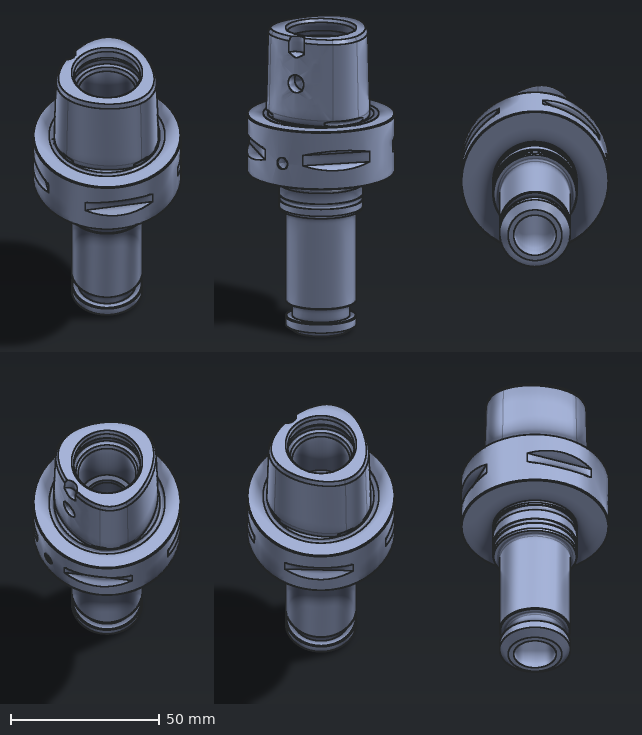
import cadquery as cq
import math

total_height = 105.5
cut_clearance = 1.1

shank_dia = 24.0
foot_dia = 18.1
foot_chamfer_height = 2.0
foot_top_z = 5.2
neck_dia = 19.5
neck_top_z = 10.1
neck_fillet = 0.6
edge_break = 0.3
collar_dia = 28.5
collar_bottom_z = 42.5
collar_chamfer = 0.8
shank_fillet = 0.7

flange_dia = 50.0
flange_bottom_z = 55.5
flange_top_z = 75.6
flange_edge_break = 0.3
face_groove_outer_dia = 39.1
face_groove_inner_dia = 35.8
face_groove_depth = 0.5

collar_grooves = [
    (45.8, 47.6, 0.26),
    (51.9, 53.6, 0.26),
    (54.4, flange_bottom_z, 0),
]
collar_groove_sag = 0.26
groove_bevel_width = 0.26
groove_bevel_height = 0.5

gripper_count = 4
gripper_first_angle = 45.0
gripper_mid_z = 65.5
gripper_flat_distance = 22.2
gripper_floor_height = 3.6
gripper_side_angle = 30.0

polygon_radius = 17.5
polygon_lobe = 1.0
lobe_half_angle = 18.0
lobe_spacing = 120
taper_bottom_z = 77.6
taper_per_side = 1 / 40
tip_chamfer_width = 0.8
tip_chamfer_height = 1.5
undercut_dia = 35.2
undercut_sag = 0.4
undercut_top_z = 77.3

bore_mouth_dia = 24.0
bore_mouth_chamfer_width = 0.7
bore_mouth_chamfer_height = 1.2
bore_groove_dia = 24.1
bore_lip_z = 101.5
bore_groove_top_z = 99.7
bore_ledge_dia = 21.0
bore_ledge_z = 97.7
bore_top_z = 96.4
bore_dia = 19.5
bore_floor_z = 77.0
through_dia = 14.3
through_rim_dia = 15.6

drill_tip_angle = 118.0
key_dia = 6.3
key_axis_x = -16.7
key_bottom_z = 100.1
taper_hole_dia = 6.1
taper_hole_z = 89.6
taper_hole_depth = 4.2
flange_hole_dia = 4.0
flange_hole_z = 63.7
flange_hole_depth = 0.5


def revolve(points):
    """Solid of revolution about Z from (radius, z) points."""
    return cq.Workplane("XZ").polyline(points).close().revolve(360, (0, 0), (0, 1))


def lobe_section(mean_radius, z):
    """Closed three-lobed wire at height z, in one curve per lobe and per flank."""
    def point(angle):
        t = math.radians(angle)
        return cq.Vector(
            mean_radius * math.cos(t) + polygon_lobe * math.cos(2 * t),
            mean_radius * math.sin(t) - polygon_lobe * math.sin(2 * t),
            z,
        )

    edges = []
    samples = 12
    for lobe in range(0, 360, lobe_spacing):
        for start, end in (
            (lobe - lobe_half_angle, lobe + lobe_half_angle),
            (lobe + lobe_half_angle, lobe + lobe_spacing - lobe_half_angle),
        ):
            step = (end - start) / samples
            edges.append(cq.Edge.makeSpline([point(start + i * step) for i in range(samples + 1)]))
    return cq.Wire.assembleEdges(edges)


def drill(diameter, depth, start, direction):
    """Cylinder with a conical drill tip, running from start along direction."""
    radius = diameter / 2
    tip_length = radius / math.tan(math.radians(drill_tip_angle / 2))
    body = cq.Solid.makeCylinder(radius, depth, start, direction)
    tip = cq.Solid.makeCone(radius, 0, tip_length, start + direction * depth, direction)
    return cq.Workplane(body.fuse(tip))


def make_collar_groove(low, high, wall):
    """Ring groove with straight side walls and a rounded floor."""
    collar_r = collar_dia / 2
    floor_r = collar_r - wall - collar_groove_sag
    outside_r = collar_r + cut_clearance
    return (
        cq.Workplane("XZ")
        .moveTo(outside_r, low)
        .lineTo(collar_r - wall, low)
        .threePointArc((floor_r, (low + high) / 2), (collar_r - wall, high))
        .lineTo(outside_r, high)
        .close()
        .revolve(360, (0, 0), (0, 1))
    )


def make_shank():
    shank_r = shank_dia / 2
    neck_r = neck_dia / 2
    collar_r = collar_dia / 2
    outline = (
        cq.Workplane("XZ")
        .moveTo(0, 0)
        .lineTo(foot_dia / 2, 0)
        .lineTo(shank_r, foot_chamfer_height)
        .lineTo(shank_r, foot_top_z - edge_break)
        .lineTo(shank_r - edge_break, foot_top_z)
        .lineTo(neck_r, foot_top_z)
        .lineTo(neck_r, neck_top_z - neck_fillet)
        .radiusArc((neck_r + neck_fillet, neck_top_z), neck_fillet)
        .lineTo(shank_r - edge_break, neck_top_z)
        .lineTo(shank_r, neck_top_z + edge_break)
        .lineTo(shank_r, collar_bottom_z - shank_fillet)
        .radiusArc((shank_r + shank_fillet, collar_bottom_z), shank_fillet)
        .lineTo(collar_r - edge_break, collar_bottom_z)
        .lineTo(collar_r, collar_bottom_z + collar_chamfer)
        .lineTo(collar_r, flange_bottom_z)
        .lineTo(0, flange_bottom_z)
        .close()
    )
    shank = outline.revolve(360, (0, 0), (0, 1))
    for groove in collar_grooves:
        shank = shank.cut(make_collar_groove(*groove))
    bevel_top = collar_grooves[1][0]
    bevel = revolve([
        (collar_r - groove_bevel_width, bevel_top),
        (collar_r, bevel_top - groove_bevel_height),
        (collar_r, bevel_top),
    ])
    return shank.cut(bevel)


def make_flange():
    height = flange_top_z - flange_bottom_z
    flange = (
        cq.Workplane("XY").workplane(offset=flange_bottom_z)
        .circle(flange_dia / 2).extrude(height)
        .edges("%CIRCLE").chamfer(flange_edge_break)
    )
    inner_r = face_groove_inner_dia / 2
    outer_r = face_groove_outer_dia / 2
    face_groove = (
        cq.Workplane("XZ")
        .moveTo(inner_r, flange_top_z)
        .threePointArc(
            ((inner_r + outer_r) / 2, flange_top_z - face_groove_depth),
            (outer_r, flange_top_z),
        )
        .close()
        .revolve(360, (0, 0), (0, 1))
    )
    return flange.cut(face_groove)


def make_gripper_groove(angle):
    """V-sided groove with a flat floor, facing outwards at the given angle."""
    floor = gripper_floor_height / 2
    reach = flange_dia / 2 + cut_clearance - gripper_flat_distance
    mouth = floor + reach * math.tan(math.radians(gripper_side_angle))
    far = gripper_flat_distance + reach
    groove = (
        cq.Workplane("XZ")
        .polyline([
            (gripper_flat_distance, gripper_mid_z - floor),
            (far, gripper_mid_z - mouth),
            (far, gripper_mid_z + mouth),
            (gripper_flat_distance, gripper_mid_z + floor),
        ])
        .close()
        .extrude(flange_dia / 2, both=True)
    )
    return groove.rotate((0, 0, 0), (0, 0, 1), angle)


def make_taper():
    chamfer_z = total_height - tip_chamfer_height
    chamfer_radius = polygon_radius - (chamfer_z - taper_bottom_z) * taper_per_side
    root_z = flange_top_z
    root = lobe_section(polygon_radius, root_z)
    large = lobe_section(polygon_radius, taper_bottom_z)
    small = lobe_section(chamfer_radius, chamfer_z)
    tip = lobe_section(chamfer_radius - tip_chamfer_width, total_height)

    undercut_floor_r = undercut_dia / 2
    undercut_edge_r = undercut_floor_r + undercut_sag
    clear_r = polygon_radius + 2 * polygon_lobe
    undercut = (
        cq.Workplane("XZ")
        .moveTo(clear_r, root_z)
        .lineTo(undercut_edge_r, root_z)
        .threePointArc(
            (undercut_floor_r, (root_z + undercut_top_z) / 2),
            (undercut_edge_r, undercut_top_z),
        )
        .lineTo(clear_r, undercut_top_z)
        .close()
        .revolve(360, (0, 0), (0, 1))
    )
    foot = cq.Workplane(cq.Solid.makeLoft([root, large], True)).cut(undercut)
    body = cq.Workplane(cq.Solid.makeLoft([large, small], True))
    end = cq.Workplane(cq.Solid.makeLoft([small, tip], True))
    return foot.union(body).union(end)


def make_bore():
    mouth_r = bore_mouth_dia / 2
    entry_r = mouth_r - bore_mouth_chamfer_width
    groove_r = bore_groove_dia / 2
    ledge_r = bore_ledge_dia / 2
    bore_r = bore_dia / 2
    rim_r = through_rim_dia / 2
    through_r = through_dia / 2
    return revolve([
        (0, 0),
        (through_r, 0),
        (through_r, bore_floor_z - (rim_r - through_r)),
        (rim_r, bore_floor_z),
        (bore_r, bore_floor_z),
        (bore_r, bore_top_z),
        (ledge_r, bore_ledge_z),
        (groove_r, bore_ledge_z),
        (groove_r, bore_groove_top_z),
        (entry_r, bore_lip_z),
        (entry_r, total_height - bore_mouth_chamfer_height),
        (mouth_r, total_height),
        (0, total_height),
    ])


def make_drilled_details():
    down = cq.Vector(0, 0, -1)
    inward = cq.Vector(1, 0, 0)
    key = drill(key_dia, total_height - key_bottom_z, cq.Vector(key_axis_x, 0, total_height), down)
    taper_flat = polygon_radius - polygon_lobe - (taper_hole_z - taper_bottom_z) * taper_per_side
    taper_start = cq.Vector(-taper_flat - cut_clearance, 0, taper_hole_z)
    taper_hole = drill(taper_hole_dia, taper_hole_depth + cut_clearance, taper_start, inward)
    flange_start = cq.Vector(-flange_dia / 2 - cut_clearance, 0, flange_hole_z)
    flange_hole = drill(flange_hole_dia, flange_hole_depth + cut_clearance, flange_start, inward)
    return [key, taper_hole, flange_hole]


result = make_shank().union(make_flange()).union(make_taper()).cut(make_bore())
for index in range(gripper_count):
    result = result.cut(make_gripper_groove(gripper_first_angle + index * 360 / gripper_count))
for detail in make_drilled_details():
    result = result.cut(detail)